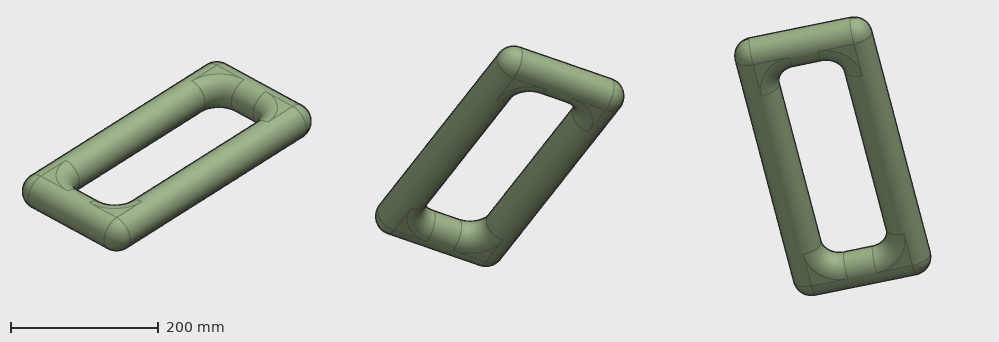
import cadquery as cq

length_x = 190.0
length_y = 400.0
thickness = 50.0
opening_corner_radius = 25.0

bar_radius = thickness / 2
centreline_x = length_x - 2 * bar_radius
centreline_y = length_y - 2 * bar_radius
centreline_corner_radius = opening_corner_radius + bar_radius


def outer_body():
    """Solid slab with half-round sides and spherical corners."""
    long_sides = cq.Workplane("XZ").slot2D(length_x, thickness).extrude(centreline_y / 2, both=True)
    short_sides = cq.Workplane("YZ").slot2D(length_y, thickness).extrude(centreline_x / 2, both=True)
    corners = (
        cq.Workplane("XY")
        .rect(centreline_x, centreline_y, forConstruction=True)
        .vertices()
        .sphere(bar_radius)
    )
    return long_sides.union(short_sides).union(corners)


def centreline_block():
    """Block filling the bar centreline over the full thickness."""
    return (
        cq.Workplane("XY")
        .rect(centreline_x, centreline_y)
        .extrude(thickness / 2, both=True)
        .edges("|Z")
        .fillet(centreline_corner_radius)
    )


def rounded_ring():
    """Round bar bent along the centreline."""
    half_x = centreline_x / 2
    half_y = centreline_y / 2
    straight_x = half_x - centreline_corner_radius
    straight_y = half_y - centreline_corner_radius
    path = (
        cq.Workplane("XY")
        .moveTo(half_x, 0)
        .lineTo(half_x, straight_y)
        .tangentArcPoint((straight_x, half_y), relative=False)
        .lineTo(-straight_x, half_y)
        .tangentArcPoint((-half_x, straight_y), relative=False)
        .lineTo(-half_x, -straight_y)
        .tangentArcPoint((-straight_x, -half_y), relative=False)
        .lineTo(straight_x, -half_y)
        .tangentArcPoint((half_x, -straight_y), relative=False)
        .close()
    )
    return cq.Workplane("XZ").center(half_x, 0).circle(bar_radius).sweep(path)


opening = centreline_block().cut(rounded_ring())
result = outer_body().cut(opening)